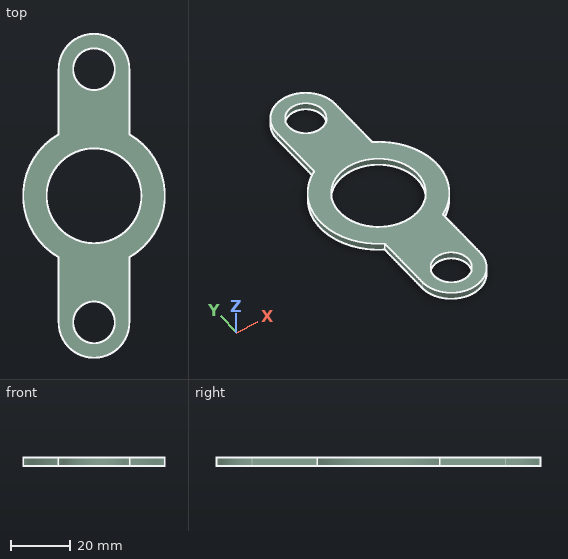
import cadquery as cq

length = 109.5
thickness = 3.0

ring_diameter = 48.0
bore_diameter = 32.0

arm_width = ring_diameter / 2
bolt_hole_diameter = 14.0
bolt_hole_spacing = length - arm_width


def make_blank():
    """Ring disc joined with one straight bar that forms both arms."""
    disc = cq.Workplane("XY").circle(ring_diameter / 2).extrude(thickness)
    bar = cq.Workplane("XY").slot2D(length, arm_width, angle=90).extrude(thickness)
    return disc.union(bar)


def cut_holes(plate):
    """Central bore and the bolt hole in each arm, all through the plate."""
    bore = cq.Workplane("XY").circle(bore_diameter / 2).extrude(thickness)
    bolt_holes = (
        cq.Workplane("XY")
        .rarray(1.1, bolt_hole_spacing, 1, 2)
        .circle(bolt_hole_diameter / 2)
        .extrude(thickness)
    )
    return plate.cut(bore).cut(bolt_holes)


result = cut_holes(make_blank())